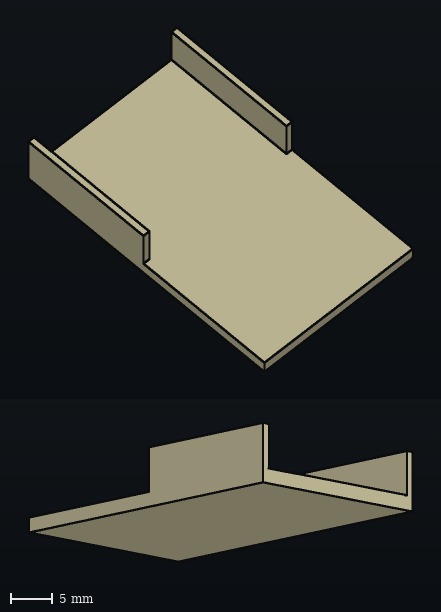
import cadquery as cq

length = 41.0
width = 25.0
height = 7.4
floor_thickness = 1.9
wall_thickness = 1.0
wall_length = 20.0


def make_floor():
    """Flat plate with its lower corner at the origin."""
    return cq.Workplane("XY").box(length, width, floor_thickness, centered=False)


def make_wall(y_start):
    """Full-height side wall starting at the X = 0 end of the plate."""
    wall = cq.Workplane("XY").box(wall_length, wall_thickness, height, centered=False)
    return wall.translate((0, y_start, 0))


result = make_floor()
for y_start in (0, width - wall_thickness):
    result = result.union(make_wall(y_start))